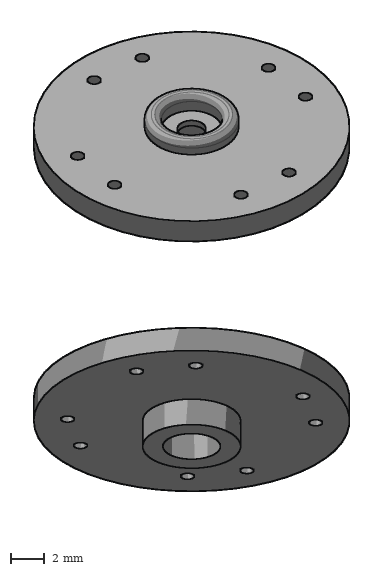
import cadquery as cq

disc_diameter = 18.7
disc_thickness = 1.51

hub_diameter = 5.8
hub_height = 1.68
collar_diameter = 5.6
collar_height = 0.9
collar_outer_fillet = 0.4

recess_diameter = 3.6
recess_depth = 1.1
recess_rim_fillet = 0.4
bore_diameter = 1.7
web_thickness = 0.4
counterbore_diameter = 3.4

mount_hole_diameter = 0.8
pair_half_spacing = 1.8
pair_distance = 7.12

collar_top = disc_thickness + collar_height
recess_floor = collar_top - recess_depth
counterbore_roof = recess_floor - web_thickness


def cylinder(diameter, bottom, top):
    """Upright cylinder on the part axis between two heights."""
    return cq.Workplane("XY").workplane(offset=bottom).circle(diameter / 2).extrude(top - bottom)


def make_collar():
    """Raised ring with a rounded outer edge."""
    collar = cylinder(collar_diameter, 0, collar_top)
    return collar.faces(">Z").edges().fillet(collar_outer_fillet)


def make_recess():
    """Round pocket cutter that flares outward at the rim."""
    radius = recess_diameter / 2
    profile = (
        cq.Workplane("XZ")
        .moveTo(0, recess_floor)
        .lineTo(radius, recess_floor)
        .lineTo(radius, collar_top - recess_rim_fillet)
        .radiusArc((radius + recess_rim_fillet, collar_top), recess_rim_fillet)
        .lineTo(0, collar_top)
        .close()
    )
    return profile.revolve(360, (0, 0, 0), (0, 1, 0))


def make_mount_holes():
    """Cutters for the hole pairs, repeated every quarter turn."""
    pair = [(-pair_half_spacing, pair_distance), (pair_half_spacing, pair_distance)]
    pair_cutter = cq.Workplane("XY").pushPoints(pair).circle(mount_hole_diameter / 2).extrude(disc_thickness)
    cutters = pair_cutter
    for quarter in range(1, 4):
        cutters = cutters.add(pair_cutter.val().rotate((0, 0, 0), (0, 0, 1), 90 * quarter))
    return cutters.combine()


body = (
    cylinder(disc_diameter, 0, disc_thickness)
    .union(cylinder(hub_diameter, -hub_height, 0))
    .union(make_collar())
)
result = (
    body.cut(make_recess())
    .cut(cylinder(bore_diameter, -hub_height, collar_top))
    .cut(cylinder(counterbore_diameter, -hub_height, counterbore_roof))
    .cut(make_mount_holes())
)